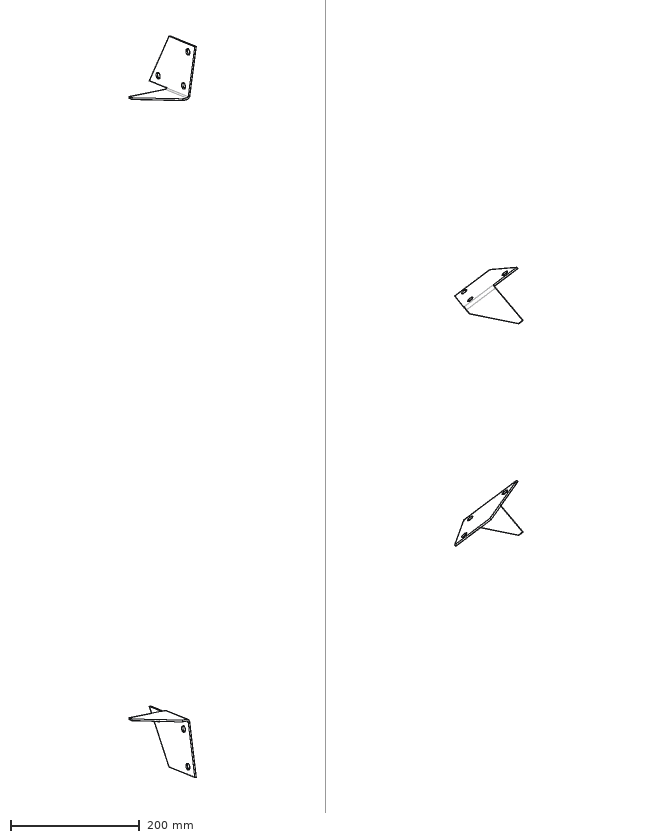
import cadquery as cq

width = 123.0
depth = 73.0
pair_height = 1184.0

thickness = 3.0
inner_radius = 2.0
outer_radius = inner_radius + thickness

plate_height = 85.0
plate_top_left = 53.0
plate_bottom_right = 105.0

flange_left = 46.0
flange_right = 104.0
flange_tip_width = 8.0
flange_straight_depth = 13.0

hole_diameter = 10.2
lower_hole_height = 14.0
upper_hole_drop = 13.0
hole_centres = [
    (24.0, lower_hole_height),
    (92.0, lower_hole_height),
    (104.0, plate_height - upper_hole_drop),
]


def make_plate():
    """Upright plate with its back on Y = 0 and its bottom on Z = 0."""
    plate = (
        cq.Workplane("XZ")
        .polyline([
            (0, 0),
            (plate_bottom_right, 0),
            (width, plate_height),
            (plate_top_left, plate_height),
        ])
        .close()
        .extrude(thickness)
    )
    holes = (
        cq.Workplane("XZ")
        .pushPoints(hole_centres)
        .circle(hole_diameter / 2)
        .extrude(thickness)
    )
    return plate.cut(holes)


def make_bend():
    """Quarter-round bend joining the plate bottom to the flange."""
    return (
        cq.Workplane("YZ", origin=(flange_left, 0, 0))
        .moveTo(0, 0)
        .radiusArc((-outer_radius, -outer_radius), outer_radius)
        .lineTo(-outer_radius, -inner_radius)
        .radiusArc((-thickness, 0), -inner_radius)
        .close()
        .extrude(flange_right - flange_left)
    )


def make_flange():
    """Horizontal tapered flange, starting where the bend ends."""
    return (
        cq.Workplane("XY", origin=(0, 0, -outer_radius))
        .polyline([
            (flange_left, -outer_radius),
            (flange_right, -outer_radius),
            (flange_right, -flange_straight_depth),
            (flange_left + flange_tip_width, -depth),
            (flange_left, -depth),
        ])
        .close()
        .extrude(thickness)
    )


def make_bracket():
    """Upper bracket, with its plate top at half the pair height."""
    bracket = make_plate().union(make_bend()).union(make_flange())
    return bracket.translate((0, 0, pair_height / 2 - plate_height))


upper_bracket = make_bracket()
lower_bracket = upper_bracket.mirror("XY")

result = cq.Compound.makeCompound([upper_bracket.val(), lower_bracket.val()])